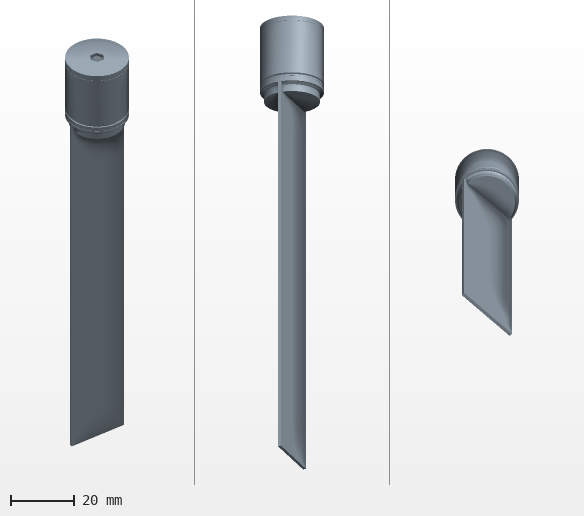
import cadquery as cq
import math

total_height = 146.5
outer_diameter = 20.0

groove_depth = 0.09
barrel_groove = (1.5, 0.5)
base_groove = (20.5, 0.9)

seam_depth = 19.9
barrel_bevel = 0.6

socket_flats = 4.1
socket_depth = 1.0

flange_bottom_depth = 22.1
disc_diameter = 17.6
disc_height = 3.1
disc_bevel = 0.7

plate_thickness = 1.0
plate_width = outer_diameter

seam_level = total_height - seam_depth
flange_bottom = total_height - flange_bottom_depth
disc_bottom = flange_bottom - disc_height


def cylinder(diameter, bottom, height):
    return cq.Workplane("XY").workplane(offset=bottom).circle(diameter / 2).extrude(height)


def groove_ring(groove):
    upper_depth, width = groove
    bottom = total_height - upper_depth - width
    core = cylinder(outer_diameter - 2 * groove_depth, bottom, width)
    return cylinder(outer_diameter, bottom, width).cut(core)


def make_socket():
    corner_diameter = socket_flats / math.cos(math.pi / 6)
    return (
        cq.Workplane("XY")
        .workplane(offset=total_height - socket_depth)
        .transformed(rotate=(0, 0, 90))
        .polygon(6, corner_diameter)
        .extrude(socket_depth)
    )


def make_barrel():
    barrel = cylinder(outer_diameter, seam_level, total_height - seam_level)
    barrel = barrel.faces("<Z").edges().chamfer(barrel_bevel)
    return barrel.cut(groove_ring(barrel_groove)).cut(make_socket())


def make_plate():
    return cq.Workplane("XY").box(
        plate_thickness, plate_width, flange_bottom, centered=(True, True, False)
    )


def make_base(plate):
    outer_radius = outer_diameter / 2
    disc_radius = disc_diameter / 2
    profile = (
        cq.Workplane("XZ")
        .moveTo(0, disc_bottom)
        .lineTo(disc_radius, disc_bottom)
        .lineTo(disc_radius, flange_bottom - disc_bevel)
        .lineTo(disc_radius + disc_bevel, flange_bottom)
        .lineTo(outer_radius, flange_bottom)
        .lineTo(outer_radius, seam_level)
        .lineTo(0, seam_level)
        .close()
    )
    base = profile.revolve(360, (0, 0, 0), (0, 1, 0))
    return base.cut(groove_ring(base_groove)).cut(plate)


barrel = make_barrel()
plate = make_plate()
base = make_base(plate)

result = cq.Compound.makeCompound([barrel.val(), base.val(), plate.val()])